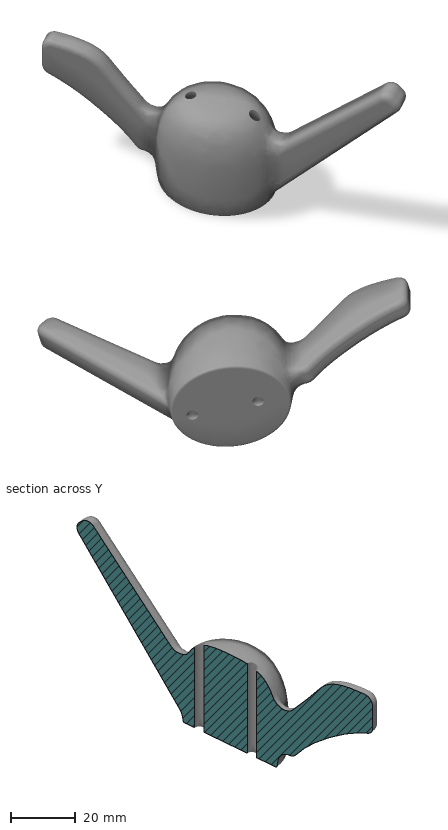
import cadquery as cq
body_height = 34.8
body_half_depth = 16.3
body_stretch = 1.2
belly_height = 6.5
base_half_depth = 15.6
base_round = 0.7
dome_heights = [14.2, 21.3, 26, 29.6, 32, 33.5, 34.3, 34.7]
crown_half_depth = 2.4
rise_power = 3
depth_power = 3.3

hole_diameter = 3.5
hole_positions = [-8.8, 12.3]

root_x = 13
root_blend = 4.7
root_zone_half_depth = 7.1

leaf_thickness = 6.3
leaf_edge_round = 1.7
leaf_tip_round = 3.3
leaf_heel_round = 3.0
leaf_root_bottom = 6.5
leaf_root_top = 11.2
leaf_heel = (-25.3, 7.1)
leaf_tip_x = -57.0
leaf_bottom = [(-29.9, 12.8), (-38.5, 20.4), (-47.0, 26.1), (leaf_tip_x, 30.8)]
leaf_tip_top = (leaf_tip_x, 44.5)
leaf_top = [(-47.0, 44.1), (-38.5, 41.0), (-34.2, 36.3), (-22.0, 21.7), (-root_x, leaf_root_top)]

peg_thickness = 8.3
peg_edge_round = 2.1
peg_tip_round = 3.2
peg_root_bottom = (17.7, 1.4)
peg_root_top = (root_x, 16.2)
peg_tip_top = (56.7, 60.9)
peg_tip_bottom = (62.4, 55.4)


def dome_half_depth(height):
    """Half depth of the dome at a height above the belly, following a superellipse."""
    rise = (height - belly_height) / (body_height - belly_height)
    return body_half_depth * (1 - rise**rise_power) ** (1 / depth_power)


def make_body():
    """Loft a stack of elliptical sections, each wider in X than in Y."""
    sections = [(0, base_half_depth), (belly_height, body_half_depth)]
    sections += [(height, dome_half_depth(height)) for height in dome_heights]
    sections.append((body_height, crown_half_depth))
    stack = cq.Workplane("XY")
    last_height = 0
    for height, half_depth in sections:
        stack = stack.workplane(offset=height - last_height)
        stack = stack.ellipse(half_depth, body_stretch * half_depth, rotation_angle=90)
        last_height = height
    return stack.loft().faces("<Z").edges().fillet(base_round)


def make_leaf():
    """Curved arm with a blunt rounded tip and a rounded heel beside the body."""
    blank = (
        cq.Workplane("XZ")
        .moveTo(-root_x, leaf_root_bottom)
        .lineTo(*leaf_heel)
        .spline(leaf_bottom, includeCurrent=True)
        .lineTo(*leaf_tip_top)
        .spline(leaf_top, includeCurrent=True)
        .close()
        .extrude(leaf_thickness / 2, both=True)
    )
    heel_edge = cq.NearestToPointSelector((leaf_heel[0], 0, leaf_heel[1]))
    rounded = blank.edges("|Y").edges(heel_edge).fillet(leaf_heel_round)
    rounded = rounded.edges("|Y").edges("<X").fillet(leaf_tip_round)
    return rounded.faces("<Y or >Y").edges("not >X").fillet(leaf_edge_round)


def make_peg():
    """Straight arm that tapers towards a rounded tip."""
    blank = (
        cq.Workplane("XZ")
        .polyline([peg_root_bottom, peg_root_top, peg_tip_top, peg_tip_bottom])
        .close()
        .extrude(peg_thickness / 2, both=True)
    )
    tip_edges = cq.selectors.BoxSelector(
        (peg_tip_top[0] - 1.2, -1.2, peg_tip_bottom[1] - 1.2),
        (peg_tip_bottom[0] + 1.2, 1.2, peg_tip_top[1] + 1.2),
    )
    rounded = blank.edges("|Y").edges(tip_edges).fillet(peg_tip_round)
    return rounded.faces("<Y or >Y").edges().fillet(peg_edge_round)


def join_arm(base, arm, inner_x, outer_x):
    """Fuse an arm to the body and blend the closed seam lying between two X positions."""
    seam = cq.selectors.BoxSelector(
        (inner_x, -root_zone_half_depth, base_round + 0.5),
        (outer_x, root_zone_half_depth, body_height),
        boundingbox=True,
    )
    return base.union(arm).edges(seam).fillet(root_blend)


body = make_body()
body = join_arm(body, make_leaf(), -20.6, -root_x)
body = join_arm(body, make_peg(), root_x, 21.9)

holes = (
    cq.Workplane("XY")
    .pushPoints([(x, 0) for x in hole_positions])
    .circle(hole_diameter / 2)
    .extrude(body_height)
)
result = body.cut(holes)